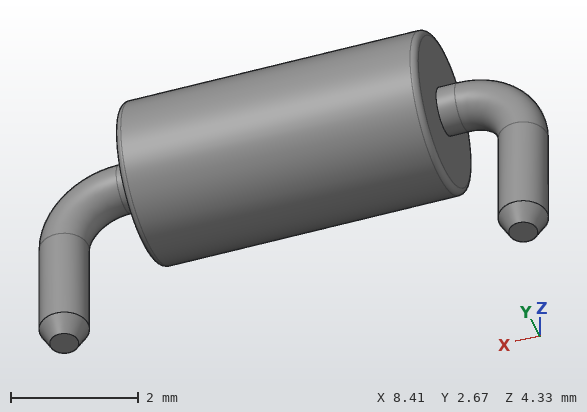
import cadquery as cq

overall_length = 8.41
overall_height = 4.33
body_diameter = 2.67
body_length = 5.0
body_edge_radius = 0.1
lead_diameter = 0.79
bend_radius = 1.0
tip_length = 0.3
tip_diameter = 0.45

lead_radius = lead_diameter / 2
lead_x = overall_length / 2 - lead_radius
bend_start_x = lead_x - bend_radius
lead_bottom_z = body_diameter / 2 - overall_height
tip_top_z = lead_bottom_z + tip_length


def make_body():
    """Cylindrical body with rounded end edges."""
    end_plane = cq.Workplane("YZ", origin=(-body_length / 2, 0, 0))
    body = end_plane.circle(body_diameter / 2).extrude(body_length)
    return body.edges("%CIRCLE").fillet(body_edge_radius)


def make_lead():
    """Lead leaving the +X end, bent down and ending in a tapered tip."""
    bend_center = cq.Vector(bend_start_x, 0, -bend_radius)
    bend_middle = bend_center + cq.Vector(1, 0, 1).normalized() * bend_radius
    path = (
        cq.Workplane("XZ")
        .moveTo(0, 0)
        .lineTo(bend_start_x, 0)
        .threePointArc((bend_middle.x, bend_middle.z), (lead_x, -bend_radius))
        .lineTo(lead_x, tip_top_z)
    )
    wire = cq.Workplane("YZ").circle(lead_radius).sweep(path)
    tip = cq.Workplane(
        cq.Solid.makeCone(
            lead_radius,
            tip_diameter / 2,
            tip_length,
            pnt=cq.Vector(lead_x, 0, tip_top_z),
            dir=cq.Vector(0, 0, -1),
        )
    )
    return wire.union(tip)


right_lead = make_lead()
left_lead = right_lead.mirror("YZ")
result = make_body().union(right_lead).union(left_lead)